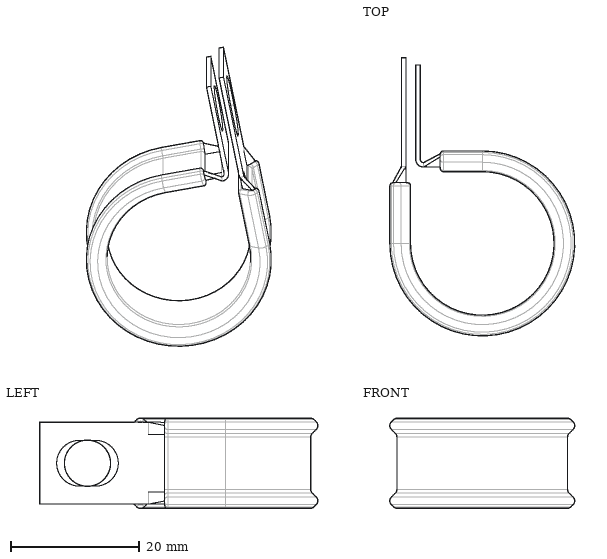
import cadquery as cq
import math


layer_thickness = 0.72
bore_radius = 11.15
band_inner_radius = bore_radius + layer_thickness
band_outer_radius = band_inner_radius + layer_thickness
jacket_outer_radius = band_outer_radius + layer_thickness

ring_sweep_degrees = 270

flare_angle = math.radians(45)
outer_radius = 14.41
overall_width = 14.07
lip_round_radius = 0.83
flare_bend_radius = 0.7
miter_slope = math.tan(flare_angle / 2)

tab_arm_length = 9.46
bent_arm_length = 6.55
arm_end_round = 0.5

edge_cover = 0.55
tab_width = 12.76
flat_half_width = 4.5
straight_transition_length = 2.54
bent_transition_length = 2.6

tab_reach = 28.93
bent_tab_reach = 27.8
tab_bend_inner_radius = 0.5
hole_diameter = 7.15
slot_length = 9.6
hole_center_y = 21.47

tab_arm_direction = cq.Vector(0, 1, 0)
tab_arm_outward = cq.Vector(-1, 0, 0)
bent_arm_direction = cq.Vector(-1, 0, 0)
bent_arm_outward = cq.Vector(0, 1, 0)


def arm_section(direction, outward, distance):
    """Workplane across an arm at a distance along it."""
    return cq.Workplane(cq.Plane(direction * distance, outward, direction))


def mirrored_outline(half_outline):
    """Close a half outline (radius, z) by repeating it on the other side of Z = 0."""
    return half_outline + [(radius, -z) for radius, z in reversed(half_outline)]


def lip_geometry():
    """Bend and lip corners of the jacket section, from the outer web to the bore."""
    outer_center_r = outer_radius - lip_round_radius
    inner_center_z = overall_width / 2 - lip_round_radius
    thickness = jacket_outer_radius - bore_radius
    center_shift = (thickness - 2 * lip_round_radius) * math.sin(flare_angle)
    outer_center_z = inner_center_z - center_shift

    corner_offset = lip_round_radius / math.sin(flare_angle)
    outer_lip = (outer_center_r + corner_offset, outer_center_z)
    inner_lip = (outer_center_r - center_shift, inner_center_z + corner_offset)

    outer_bend = (jacket_outer_radius, outer_lip[1] - (outer_lip[0] - jacket_outer_radius))
    inner_bend = (bore_radius, inner_lip[1] - (inner_lip[0] - bore_radius))
    return outer_bend, outer_lip, inner_lip, inner_bend


def jacket_profile():
    """Face of the jacket section with rounded lips and bends, in (radius, z)."""
    outer_bend, outer_lip, inner_lip, inner_bend = lip_geometry()
    outline = mirrored_outline([outer_bend, outer_lip, inner_lip, inner_bend])
    wire = cq.Wire.makePolygon([cq.Vector(radius, z) for radius, z in outline], close=True)

    def vertices_at(corner):
        radius, z = corner
        return [v for v in wire.Vertices() if math.isclose(v.X, radius) and math.isclose(abs(v.Y), z)]

    lips = vertices_at(outer_lip) + vertices_at(inner_lip)
    bends = vertices_at(outer_bend) + vertices_at(inner_bend)
    face = cq.Face.makeFromWires(wire)
    return face.fillet2D(lip_round_radius, lips).fillet2D(flare_bend_radius, bends)


def jacket_arm(profile, direction, outward, length):
    """Straight jacket arm with a rounded rim at its free end."""
    arm = arm_section(direction, outward, 0).placeSketch(profile).extrude(length)
    return arm.faces(cq.selectors.DirectionMinMaxSelector(direction)).edges().fillet(arm_end_round)


def jacket():
    """Three-quarter rubber ring with a straight arm tangent to each end."""
    profile = cq.Sketch().face(jacket_profile())
    ring = (
        arm_section(tab_arm_direction, tab_arm_outward, 0)
        .placeSketch(profile)
        .revolve(ring_sweep_degrees, (0, 0), (0, 1))
    )
    tab_arm = jacket_arm(profile, tab_arm_direction, tab_arm_outward, tab_arm_length)
    bent_arm = jacket_arm(profile, bent_arm_direction, bent_arm_outward, bent_arm_length)
    return ring.union(tab_arm).union(bent_arm)


def band_transition(direction, outward, start, length):
    """Metal band blending from its flared section at the jacket to a flat strip."""
    _, outer_lip, _, _ = lip_geometry()
    edge_step = layer_thickness * math.sin(flare_angle)

    edge_sum = outer_lip[0] + outer_lip[1] - edge_cover / math.sin(flare_angle)
    edge_r = (edge_sum + band_outer_radius - flat_half_width) / 2
    edge_z = edge_sum - edge_r
    flared = mirrored_outline([
        (band_outer_radius, flat_half_width),
        (edge_r, edge_z),
        (edge_r - edge_step, edge_z + edge_step),
        (band_inner_radius, flat_half_width + layer_thickness * miter_slope),
    ])
    flat = mirrored_outline([
        (band_outer_radius, flat_half_width),
        (band_outer_radius, tab_width / 2),
        (band_inner_radius, tab_width / 2),
        (band_inner_radius, flat_half_width),
    ])
    return (
        arm_section(direction, outward, start)
        .polyline(flared)
        .close()
        .workplane(offset=length)
        .polyline(flat)
        .close()
        .loft(ruled=True)
    )


def straight_tab():
    """Flat tab continuing the band straight along Y, with a slot lengthened along Y."""
    tab_start = tab_arm_length + straight_transition_length
    tab = cq.Workplane("XY").box(
        layer_thickness, tab_reach - tab_start, tab_width, centered=(False, False, True)
    ).translate((-band_outer_radius, tab_start, 0))
    slot = (
        cq.Workplane("YZ", origin=(-band_outer_radius, hole_center_y, 0))
        .slot2D(slot_length, hole_diameter)
        .extrude(layer_thickness)
    )
    transition = band_transition(
        tab_arm_direction, tab_arm_outward, tab_arm_length, straight_transition_length
    )
    return tab.cut(slot).union(transition)


def bent_tab():
    """Tab turned a quarter bend away from its arm to face the straight tab, with a round hole."""
    bend_start_x = -(bent_arm_length + bent_transition_length)
    bend_outer_radius = tab_bend_inner_radius + layer_thickness
    bend_center_y = band_inner_radius + bend_outer_radius
    outer_x = bend_start_x - bend_outer_radius
    inner_x = bend_start_x - tab_bend_inner_radius
    tab = (
        cq.Workplane("XY")
        .moveTo(bend_start_x, band_inner_radius)
        .radiusArc((outer_x, bend_center_y), bend_outer_radius)
        .lineTo(outer_x, bent_tab_reach)
        .lineTo(inner_x, bent_tab_reach)
        .lineTo(inner_x, bend_center_y)
        .radiusArc((bend_start_x, band_outer_radius), -tab_bend_inner_radius)
        .close()
        .extrude(tab_width / 2, both=True)
    )
    hole = (
        cq.Workplane("YZ", origin=(outer_x, hole_center_y, 0))
        .circle(hole_diameter / 2)
        .extrude(layer_thickness)
    )
    transition = band_transition(
        bent_arm_direction, bent_arm_outward, bent_arm_length, bent_transition_length
    )
    return tab.cut(hole).union(transition)


result = jacket().union(straight_tab()).union(bent_tab())